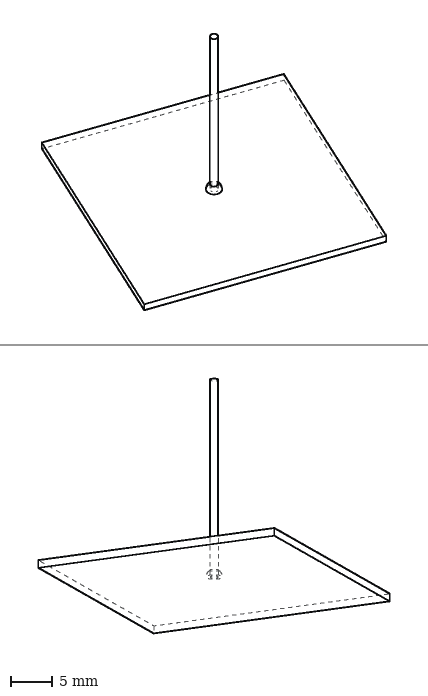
import cadquery as cq

plate_side = 32.0
overall_height = 26.0
plate_thickness = 1.0
wire_diameter = 1.0
bead_diameter = 2 * wire_diameter

wire_length = overall_height - plate_thickness
wire_radius = wire_diameter / 2
bead_radius = bead_diameter / 2


def make_plate():
    """Square plate below Z = 0, centred on the Z axis."""
    return cq.Workplane("XY").rect(plate_side, plate_side).extrude(-plate_thickness)


def make_wire():
    """Straight round wire standing on the middle of the plate."""
    return cq.Workplane("XY").circle(wire_radius).extrude(wire_length)


def make_bead():
    """Half-ball bead on the plate, bored through for the wire."""
    ball = cq.Workplane("XY").sphere(bead_radius)
    upper_half = cq.Workplane("XY").rect(bead_diameter, bead_diameter).extrude(bead_radius)
    bore = cq.Workplane("XY").circle(wire_radius).extrude(bead_radius)
    return ball.intersect(upper_half).cut(bore)


plate = make_plate()
wire = make_wire()
bead = make_bead()

result = cq.Compound.makeCompound([plate.val(), wire.val(), *bead.solids().vals()])